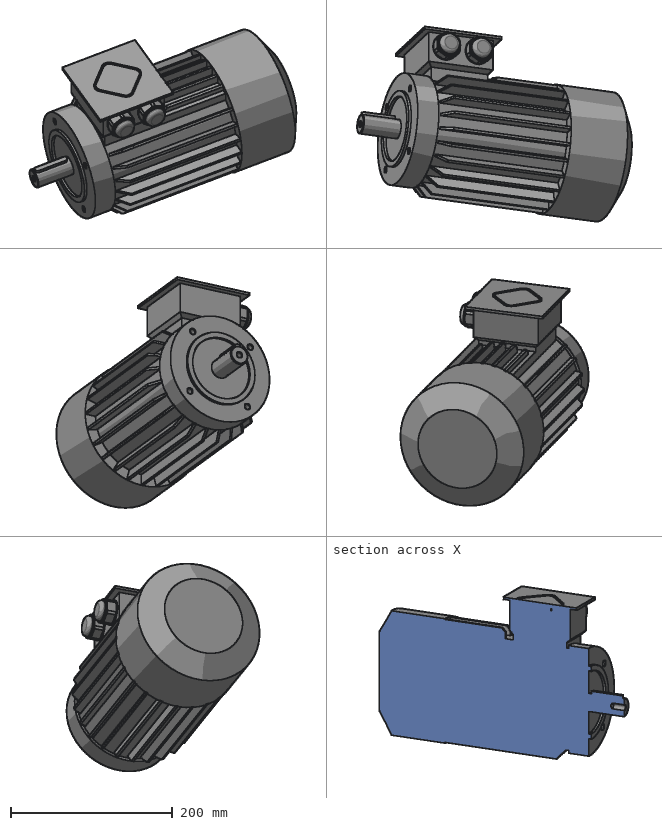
import cadquery as cq
import math


shaft_tip_y = -49.5
spigot_height = 3.5
flange_thickness = 28.0
fin_front_y = 31.5
cowl_front_y = 199.0
cowl_edge_y = 273.5
overall_length = 340.0
rear_y = shaft_tip_y + overall_length

shaft_radius = 24.0 / 2
shaft_chamfer = 1.0
spigot_radius = 95.0 / 2
recess_radius = 81.0 / 2
flange_radius = 140.0 / 2
body_radius = 133.0 / 2
cowl_radius = 162.0 / 2
cowl_rear_radius = 51.7

key_width = 7.0
key_top_z = 15.3
key_setback = 2.0
key_start_y = shaft_tip_y + key_setback
key_end_y = -spigot_height

hole_diameter = 6.8
hole_chamfer = 0.7
drill_point_angle = 118.0
centre_hole_depth = 17.0
screw_hole_depth = 13.5
screw_circle_radius = 57.5
screw_start_angle = 42.2
screw_count = 4

fin_radius = 80.0
fin_thickness = 3.0
fin_root_depth = 3.5
fin_pitch_angle = 15
first_fin_angle = -225
last_fin_angle = 45
top_fin_pitch = 15.0
top_fin_count = 5
top_fin_front_y = 115.3
top_fin_bevel = 5.0

box_centre_y = 67.5
pedestal_side = 74.8
pad_top_z = 66.5
box_side = 85.0
box_taper_start_z = 72.8
box_bottom_z = 78.0
lid_side = 101.5
lid_bottom_z = 116.5
lid_top_z = 120.0
frame_side = 50.5
frame_width = 2.0
frame_height = 1.0
frame_corner_radius = 10.0

gland_pitch = 43.0
gland_z = 98.3
gland_collar_radius = 15.5
gland_hex_flats = 30.3
gland_hex_radius = 33.0 / 2
gland_shoulder_radius = 15.0
gland_cap_radius = 26.2 / 2
gland_cap_fillet = 4.8
gland_collar_length = 1.7
gland_hex_length = 11.5
gland_shoulder_length = 2.0
gland_wall_x = box_side / 2
gland_hex_x = gland_wall_x + gland_collar_length
gland_shoulder_x = gland_hex_x + gland_hex_length
gland_cap_x = gland_shoulder_x + gland_shoulder_length
gland_end_x = 64.3


def turned(points):
    """Revolve a (radius, y) outline about the shaft axis."""
    return cq.Workplane("XY").polyline(points).close().revolve(360, (0, 0, 0), (0, 1, 0))


def block(x_size, y_start, y_end, z_start, z_end):
    """Box centred on X = 0 between the given Y and Z limits."""
    size = (x_size, y_end - y_start, z_end - z_start)
    corner = (-x_size / 2, y_start, z_start)
    return cq.Workplane("XY").box(*size, centered=False).translate(corner)


def drilled_hole(x, y, z, depth):
    """Cutter for a hole entering along +Y, with a chamfered mouth and a conical drill point."""
    radius = hole_diameter / 2
    point_length = radius / math.tan(math.radians(drill_point_angle / 2))
    outline = [
        (0, 0),
        (radius + hole_chamfer, 0),
        (radius, hole_chamfer),
        (radius, depth),
        (0, depth + point_length),
    ]
    return turned(outline).translate((x, y, z))


def motor_body():
    """Shaft, recessed spigot, flange, stator body and fan cowl."""
    return turned([
        (0, shaft_tip_y),
        (shaft_radius - shaft_chamfer, shaft_tip_y),
        (shaft_radius, shaft_tip_y + shaft_chamfer),
        (shaft_radius, 0),
        (recess_radius, 0),
        (recess_radius, -spigot_height),
        (spigot_radius, -spigot_height),
        (spigot_radius, 0),
        (flange_radius, 0),
        (flange_radius, flange_thickness),
        (body_radius, flange_thickness),
        (body_radius, cowl_front_y),
        (cowl_radius, cowl_front_y),
        (cowl_radius, cowl_edge_y),
        (cowl_rear_radius, rear_y),
        (0, rear_y),
    ])


def shaft_key():
    """Round-ended key, sunk to the shaft axis and standing above the shaft."""
    return (
        cq.Workplane("XY")
        .center(0, (key_start_y + key_end_y) / 2)
        .slot2D(key_end_y - key_start_y, key_width, 90)
        .extrude(key_top_z)
    )


def radial_fins():
    """Fins around the sides and bottom, bevelled at 45 degrees at the front."""
    bevel = fin_radius - body_radius
    root_radius = body_radius - fin_root_depth
    outline = [
        (root_radius, fin_front_y),
        (body_radius, fin_front_y),
        (fin_radius, fin_front_y + bevel),
        (fin_radius, cowl_front_y),
        (root_radius, cowl_front_y),
    ]
    fin = cq.Workplane("XY").polyline(outline).close().extrude(fin_thickness / 2, both=True)
    fins = cq.Workplane("XY")
    for angle in range(first_fin_angle, last_fin_angle + 1, fin_pitch_angle):
        fins = fins.add(fin.rotate((0, 0, 0), (0, 1, 0), -angle))
    return fins.combine()


def top_fins():
    """Upright parallel fins behind the terminal box, trimmed to the round fin outline."""
    envelope = turned([
        (0, top_fin_front_y),
        (fin_radius - top_fin_bevel, top_fin_front_y),
        (fin_radius, top_fin_front_y + top_fin_bevel),
        (fin_radius, cowl_front_y),
        (0, cowl_front_y),
    ])
    root_z = pad_top_z - fin_root_depth
    fins = cq.Workplane("XY")
    for index in range(top_fin_count):
        x = (index - (top_fin_count - 1) / 2) * top_fin_pitch
        fin = block(fin_thickness, top_fin_front_y, cowl_front_y, root_z, fin_radius)
        fins = fins.add(fin.translate((x, 0, 0)))
    return fins.combine().intersect(envelope)


def square_prism(side, z_start, z_end):
    """Square block centred on the terminal box."""
    return block(side, box_centre_y - side / 2, box_centre_y + side / 2, z_start, z_end)


def rounded_diamond(side, corner_radius):
    """Plate on the lid: a square turned by 45 degrees with rounded corners."""
    return (
        cq.Workplane("XY")
        .rect(side, side)
        .extrude(frame_height)
        .edges("|Z")
        .fillet(corner_radius)
        .rotate((0, 0, 0), (0, 0, 1), 45)
        .translate((0, box_centre_y, lid_top_z))
    )


def terminal_box():
    """Pad and pedestal on the body, tapered box, overhanging lid and raised frame."""
    pedestal_front_y = box_centre_y - pedestal_side / 2
    pad = block(pedestal_side, pedestal_front_y, cowl_front_y, 0, pad_top_z)
    pedestal = square_prism(pedestal_side, 0, box_taper_start_z)
    taper = (
        cq.Workplane("XY", origin=(0, box_centre_y, box_taper_start_z))
        .rect(pedestal_side, pedestal_side)
        .workplane(offset=box_bottom_z - box_taper_start_z)
        .rect(box_side, box_side)
        .loft(ruled=True)
    )
    box = square_prism(box_side, box_bottom_z, lid_bottom_z)
    lid = square_prism(lid_side, lid_bottom_z, lid_top_z)
    frame = rounded_diamond(frame_side, frame_corner_radius).cut(
        rounded_diamond(frame_side - 2 * frame_width, frame_corner_radius - frame_width)
    )
    return pad.union(pedestal).union(taper).union(box).union(lid).union(frame)


def cable_gland(y):
    """Collar, hexagon with trimmed corners, conical shoulder and rounded cap along +X."""
    def along_x(x):
        return cq.Workplane("YZ", origin=(x, y, gland_z))

    collar = along_x(gland_wall_x).circle(gland_collar_radius).extrude(gland_collar_length)
    hexagon = (
        along_x(gland_hex_x)
        .polygon(6, gland_hex_flats, circumscribed=True)
        .extrude(gland_hex_length)
        .intersect(along_x(gland_hex_x).circle(gland_hex_radius).extrude(gland_hex_length))
    )
    shoulder = (
        along_x(gland_shoulder_x)
        .circle(gland_hex_flats / 2)
        .workplane(offset=gland_shoulder_length)
        .circle(gland_shoulder_radius)
        .loft()
    )
    cap = (
        along_x(gland_cap_x)
        .circle(gland_cap_radius)
        .extrude(gland_end_x - gland_cap_x)
        .faces(">X")
        .edges()
        .fillet(gland_cap_fillet)
    )
    return collar.union(hexagon).union(shoulder).union(cap)


result = motor_body().union(shaft_key()).union(radial_fins()).union(terminal_box()).union(top_fins())

for side in (-1, 1):
    result = result.union(cable_gland(box_centre_y + side * gland_pitch / 2))

result = result.cut(drilled_hole(0, shaft_tip_y, 0, centre_hole_depth))
for index in range(screw_count):
    angle = math.radians(screw_start_angle + index * 360 / screw_count)
    hole_x = screw_circle_radius * math.cos(angle)
    hole_z = screw_circle_radius * math.sin(angle)
    result = result.cut(drilled_hole(hole_x, 0, hole_z, screw_hole_depth))